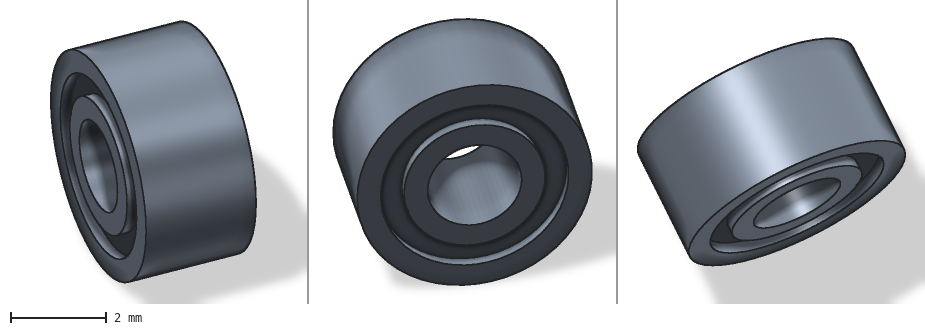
import cadquery as cq

outer_diameter = 5.0
width = 2.5
bore_diameter = 2.0
ring_wall = 0.5
groove_depth = 0.25

groove_inner_diameter = bore_diameter + 2 * ring_wall
groove_outer_diameter = outer_diameter - 2 * ring_wall
shield_width = width - 2 * groove_depth


def tube(outer, inner, length):
    """Tube along Y, centred on the origin."""
    start = cq.Workplane("XZ", origin=(0, length / 2, 0))
    return start.circle(outer / 2).circle(inner / 2).extrude(length)


outer_ring = tube(outer_diameter, groove_outer_diameter, width)
inner_ring = tube(groove_inner_diameter, bore_diameter, width)

shield = tube(groove_outer_diameter, groove_inner_diameter, shield_width)

result = outer_ring.union(shield).union(inner_ring)